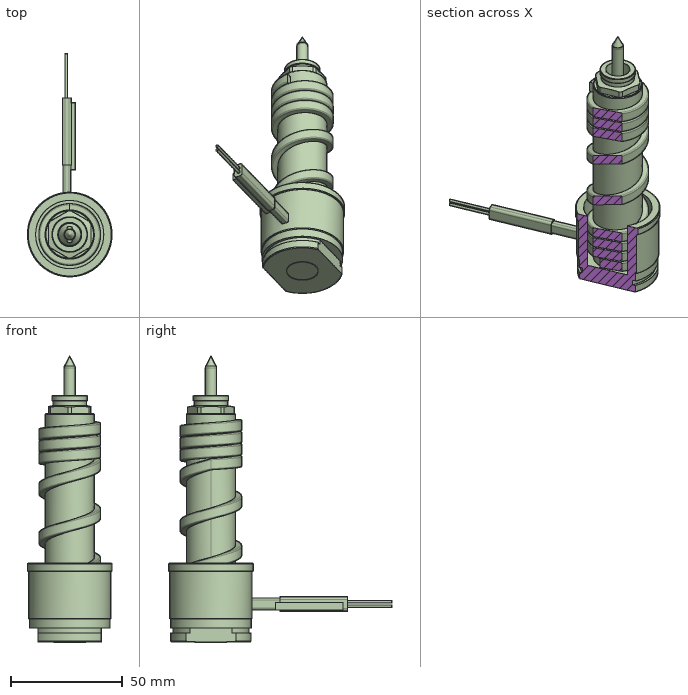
import cadquery as cq
import math

plug_radius = 7.0
plug_height = 0.3
foot_radius = 18.1
foot_top = 4.1
foot_chamfer = 0.4
groove_radius = 17.0
groove_top = 6.4
ring_top = 10.4
body_radius = 18.5
rim_radius = 19.0
rim_bottom = 31.7
rim_top = 35.5
rim_chamfer = 0.4
cup_bore_radius = 15.3
cup_floor = 8.8
flat_offset = 14.2

core_radius = 11.0
core_top = 102.4
core_chamfer = 0.4
hex_across_flats = 19.0
hex_corner_radius = 10.5
hex_top = 105.4
hex_crown = 0.6
neck_radius = 7.5
collar_radius = 8.0
collar_bottom = 108.1
collar_top = 110.5
collar_chamfer = 0.3
collar_bore_radius = 5.4
bore_depth = 10.3
bore_cone_radius = 5.0
bore_cone_height = 3.8

pin_radius = 2.5
cross_hole_radius = 1.3
cross_hole_rise = 3.3
pin_shoulder = 123.7
pin_taper_height = 0.8
pin_taper = 0.1
tip_base_radius = 2.3
tip_top = 128.2

spring_outer_radius = 13.8
spring_embed = 0.3
strip_height = 5.0
strip_round = 0.5
closed_pitch = 5.4
open_pitch = 22.0
spring_top = 99.7
top_end_angle = 90.0
closed_turns = 3.25
open_turns = 2.3

cable_x = -1.3
cable_z = 17.2
cable_width = 3.6
cable_height = 5.4
cable_round = 0.9
cable_start = 16.7
sleeve_width = 4.1
sleeve_height = 6.5
sleeve_round = 1.2
sleeve_start = 31.0
sleeve_end = 61.2
tab_left = 0.0
tab_right = 2.5
tab_bottom = 14.5
tab_top = 17.8
tab_shift = -2.0
wire_radius = 0.6
wire_x = -1.5
wire_spacing = 2.0
wire_end = 81.0


def cylinder(radius, bottom, top):
    return cq.Workplane("XY").workplane(offset=bottom).circle(radius).extrude(top - bottom)


def make_cup():
    foot = cylinder(foot_radius, plug_height, foot_top).faces("<Z").chamfer(foot_chamfer)
    groove = cylinder(groove_radius, foot_top, groove_top)
    flat_length = 2 * foot_radius
    flats = cq.Workplane("XY").box(
        2 * flat_offset, flat_length, groove_top, centered=(True, True, False)
    )
    ring = cylinder(foot_radius, groove_top, ring_top)
    body = cylinder(body_radius, ring_top, rim_bottom).faces("<Z").chamfer(rim_chamfer)
    rim = cylinder(rim_radius, rim_bottom, rim_top).edges().chamfer(rim_chamfer)
    shell = foot.union(groove).intersect(flats).union(ring).union(body).union(rim)
    shell = shell.cut(cylinder(cup_bore_radius, cup_floor, rim_top))
    return shell.union(cylinder(plug_radius, 0, foot_top))


def make_core():
    bore_floor = collar_top - bore_depth
    profile = [
        (0, cup_floor),
        (core_radius, cup_floor),
        (core_radius, core_top - core_chamfer),
        (core_radius - core_chamfer, core_top),
        (neck_radius, core_top),
        (neck_radius, collar_bottom),
        (collar_radius - collar_chamfer, collar_bottom),
        (collar_radius, collar_bottom + collar_chamfer),
        (collar_radius, collar_top - collar_chamfer),
        (collar_radius - collar_chamfer, collar_top),
        (collar_bore_radius, collar_top),
        (collar_bore_radius, bore_floor),
        (bore_cone_radius, bore_floor),
        (pin_radius, bore_floor + bore_cone_height),
        (pin_radius, pin_shoulder - pin_taper_height),
        (pin_radius - pin_taper, pin_shoulder),
        (tip_base_radius, pin_shoulder),
        (0, tip_top),
    ]
    core = cq.Workplane("XZ").polyline(profile).close().revolve(360, (0, 0), (0, 1))
    cross_hole = (
        cq.Workplane("XZ").center(0, bore_floor + cross_hole_rise)
        .circle(cross_hole_radius).extrude(collar_bore_radius, both=True)
    )
    return core.cut(cross_hole)


def make_hexagon():
    corner_diameter = hex_across_flats / math.cos(math.radians(30))
    prism = (
        cq.Workplane("XY").workplane(offset=core_top)
        .polygon(6, corner_diameter).extrude(hex_top + hex_crown - core_top)
        .rotate((0, 0, 0), (0, 0, 1), 30)
    )
    crown = [
        (neck_radius, core_top),
        (hex_corner_radius, core_top),
        (hex_corner_radius, hex_top),
        (neck_radius, hex_top + hex_crown),
    ]
    turned = cq.Workplane("XZ").polyline(crown).close().revolve(360, (0, 0), (0, 1))
    return prism.intersect(turned)


def coil(pitch, turns, bottom, start_angle):
    """Right-handed coil of the spring strip, rising from its lower end."""
    inner_radius = core_radius - spring_embed
    corner_radius = spring_outer_radius - strip_round
    corner_shift = strip_round * (1 - math.sqrt(0.5))
    section = (
        cq.Workplane("XZ")
        .moveTo(inner_radius, 0)
        .lineTo(corner_radius, 0)
        .threePointArc(
            (spring_outer_radius - corner_shift, corner_shift), (spring_outer_radius, strip_round)
        )
        .lineTo(spring_outer_radius, strip_height - strip_round)
        .threePointArc(
            (spring_outer_radius - corner_shift, strip_height - corner_shift),
            (corner_radius, strip_height),
        )
        .lineTo(inner_radius, strip_height)
        .close()
    )
    path = cq.Wire.makeHelix(pitch, pitch * turns, inner_radius)
    swept = section.sweep(cq.Workplane(obj=path), isFrenet=True)
    return swept.rotate((0, 0, 0), (0, 0, 1), start_angle).translate((0, 0, bottom))


def make_spring():
    """Closed coils, open coils and closed coils, laid end to end from the top down."""
    spring = None
    end_angle = top_end_angle
    end_height = spring_top - strip_height
    for pitch, turns in [
        (closed_pitch, closed_turns),
        (open_pitch, open_turns),
        (closed_pitch, closed_turns),
    ]:
        end_angle -= 360 * turns
        end_height -= pitch * turns
        piece = coil(pitch, turns, end_height, end_angle)
        spring = piece if spring is None else spring.union(piece)
    return spring


def bar_along_y(width, height, rounding, start, end):
    return (
        cq.Workplane("XY")
        .box(width, end - start, height, centered=(True, False, True))
        .edges("|Y").fillet(rounding)
        .translate((cable_x, start, cable_z))
    )


def make_cable():
    cable = bar_along_y(cable_width, cable_height, cable_round, cable_start, sleeve_end)
    sleeve = bar_along_y(sleeve_width, sleeve_height, sleeve_round, sleeve_start, sleeve_end)
    tab = (
        cq.Workplane("XY")
        .box(tab_right - tab_left, sleeve_end - sleeve_start, tab_top - tab_bottom, centered=False)
        .translate((tab_left, sleeve_start + tab_shift, tab_bottom))
    )
    cable = cable.union(sleeve).union(tab)
    for side in (-1, 1):
        wire = (
            cq.Workplane("XZ").circle(wire_radius).extrude(sleeve_start - wire_end)
            .translate((wire_x, sleeve_start, cable_z + side * wire_spacing / 2))
        )
        cable = cable.union(wire)
    return cable


result = make_cup().union(make_core()).union(make_hexagon())
result = result.union(make_spring()).union(make_cable())